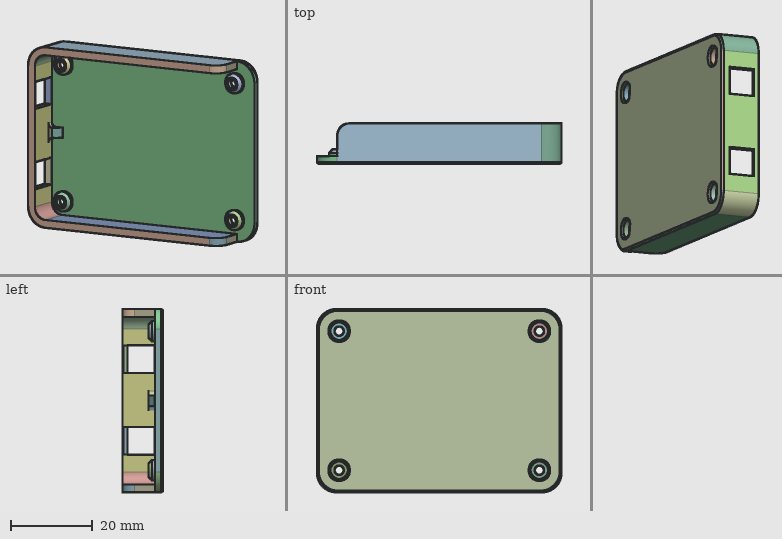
import cadquery as cq

length = 60.0
depth = 10.0
height = 45.0
corner_radius = 5.0
plate_thickness = 2.0
wall_thickness = 2.0
edge_chamfer = 0.5

wall_setback = corner_radius
wall_end_radius = 3.0

screw_inset = 5.45
boss_diameter = 5.0
boss_top_diameter = 3.2
boss_straight_height = 0.7
boss_cone_height = 0.95
screw_hole_diameter = 2.2
head_bore_diameter = 4.3
head_bore_depth = plate_thickness
mouth_chamfer = 0.5

window_height = 6.7
window_spacing = 20.05
window_center_z = 0.2
window_near_y = 2.1
window_far_y = 8.7
window_bevel = 1.1

catch_top_y = plate_thickness + boss_straight_height + boss_cone_height
catch_foot_y = 2.15
catch_width = 2.5
catch_fillet = 1.1
catch_top_reach = 1.1
catch_slope = 1.4
catch_reach = catch_top_reach + catch_slope * (catch_top_y - catch_foot_y)

inner_wall_x = length / 2 - wall_thickness


def block(x_range, y_range, z_range):
    """Box spanning the given (low, high) ranges."""
    size = [high - low for low, high in (x_range, y_range, z_range)]
    corner = (x_range[0], y_range[0], z_range[0])
    return cq.Workplane("XY").box(*size, centered=False).translate(corner)


def rounded_slab(size_x, size_z, thickness, radius):
    """Slab from y = 0 to y = thickness with rounded corners in XZ."""
    slab = cq.Workplane("XZ").rect(size_x, size_z).extrude(-thickness)
    return slab.edges("|Y").fillet(radius)


def make_shell():
    """Plate with walls along +Z, -Z and +X, open towards -X and +Y."""
    shell = rounded_slab(length, height, depth, corner_radius)
    shell = shell.faces("<Y").edges().chamfer(edge_chamfer)
    cavity = rounded_slab(
        length - 2 * wall_thickness,
        height - 2 * wall_thickness,
        depth,
        corner_radius - wall_thickness,
    ).translate((0, plate_thickness, 0))
    wall_start = -length / 2 + wall_setback
    open_end = block((-length, wall_start), (plate_thickness, 2 * depth), (-height, height))
    passage = block(
        (-length, 0),
        (plate_thickness, 2 * depth),
        (-height / 2 + wall_thickness, height / 2 - wall_thickness),
    )
    shell = shell.cut(cavity).cut(open_end).cut(passage)
    end_corners = cq.selectors.BoxSelector(
        (wall_start - 0.05, depth - 0.05, -height),
        (wall_start + 0.05, depth + 0.05, height),
    )
    return shell.edges(end_corners).edges("|Z").fillet(wall_end_radius)


def make_boss():
    """Short cylinder ending in a cone, standing on the inside of the plate."""
    cone_start = plate_thickness + boss_straight_height
    profile = [
        (0, plate_thickness),
        (boss_diameter / 2, plate_thickness),
        (boss_diameter / 2, cone_start),
        (boss_top_diameter / 2, cone_start + boss_cone_height),
        (0, cone_start + boss_cone_height),
    ]
    return cq.Workplane("XY").polyline(profile).close().revolve(360, (0, 0, 0), (0, 1, 0))


def make_screw_cut():
    """Through hole with a head bore and a chamfered mouth on the outer face."""
    bore_radius = head_bore_diameter / 2
    hole_radius = screw_hole_diameter / 2
    profile = [
        (0, 0),
        (bore_radius + mouth_chamfer, 0),
        (bore_radius, mouth_chamfer),
        (bore_radius, head_bore_depth),
        (hole_radius, head_bore_depth),
        (hole_radius, depth),
        (0, depth),
    ]
    return cq.Workplane("XY").polyline(profile).close().revolve(360, (0, 0, 0), (0, 1, 0))


def make_window(center_z):
    """Opening through the +X wall, bevelled on its inner +Y edge."""
    profile = [
        (inner_wall_x, window_near_y),
        (length / 2, window_near_y),
        (length / 2, window_far_y),
        (inner_wall_x + window_bevel, window_far_y),
        (inner_wall_x, window_far_y + window_bevel),
    ]
    window = cq.Workplane("XY").polyline(profile).close().extrude(window_height)
    return window.translate((0, 0, center_z - window_height / 2))


def make_catch():
    """Wedge sloping down from the wall to the plate, flared where it meets the wall."""
    half_width = catch_width / 2
    flare = half_width + catch_fillet
    flared_block = block(
        (inner_wall_x - catch_reach, inner_wall_x),
        (plate_thickness, catch_top_y),
        (-flare, flare),
    )
    for side in (-1, 1):
        side_cut = block(
            (inner_wall_x - 2 * catch_reach, inner_wall_x - catch_fillet),
            (0, depth),
            sorted((side * half_width, side * 2 * flare)),
        )
        flare_cut = (
            cq.Workplane("XZ")
            .center(inner_wall_x - catch_fillet, side * flare)
            .circle(catch_fillet)
            .extrude(-depth)
        )
        flared_block = flared_block.cut(side_cut).cut(flare_cut)
    slope = [
        (inner_wall_x, plate_thickness),
        (inner_wall_x, catch_top_y),
        (inner_wall_x - catch_top_reach, catch_top_y),
        (inner_wall_x - catch_reach, catch_foot_y),
        (inner_wall_x - catch_reach, plate_thickness),
    ]
    wedge = cq.Workplane("XY").polyline(slope).close().extrude(flare, both=True)
    return flared_block.intersect(wedge)


result = make_shell().union(make_catch())

screw_x = length / 2 - screw_inset
screw_z = height / 2 - screw_inset
for x in (-screw_x, screw_x):
    for z in (-screw_z, screw_z):
        result = result.union(make_boss().translate((x, 0, z)))
        result = result.cut(make_screw_cut().translate((x, 0, z)))

for side in (-1, 1):
    result = result.cut(make_window(window_center_z + side * window_spacing / 2))